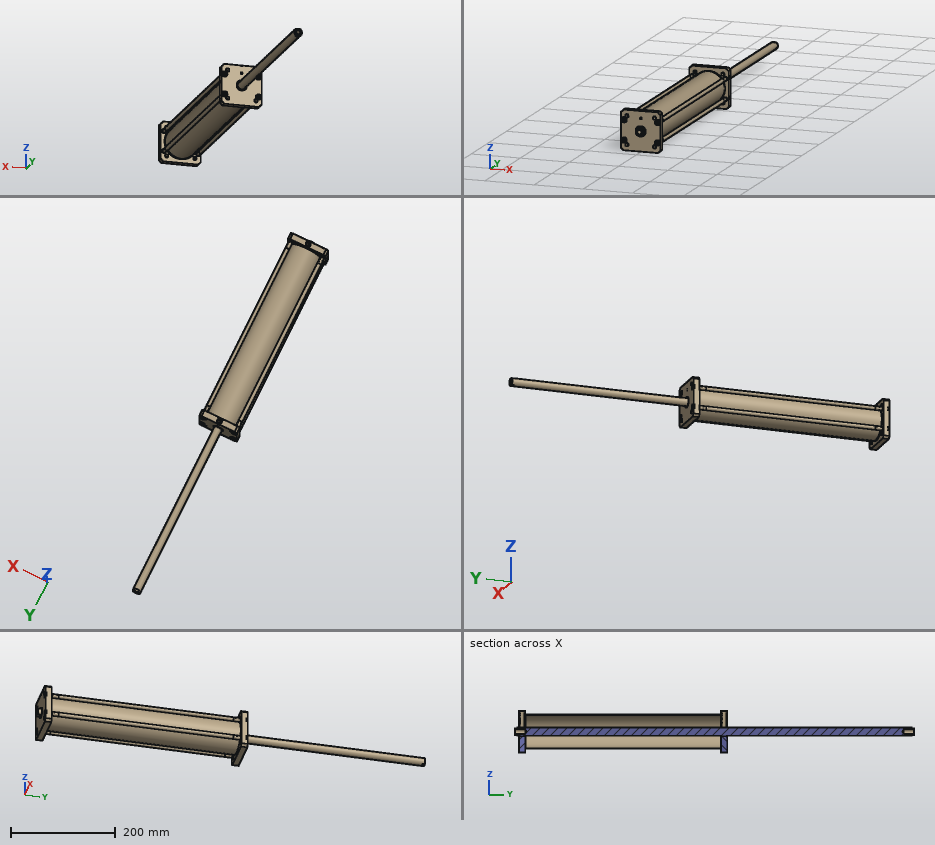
import cadquery as cq

body_length = 399
plate_size = 80
plate_thickness = 12.5
plate_corner_chamfer = 4.8

tube_outer_diameter = 66
tube_bore = 63
gasket_thickness = 1

tie_rod_x = 34
tie_rod_z = 20
tie_rod_diameter = 8
tie_rod_chamfer = 1
tie_rod_tap_diameter = 4
tie_rod_tap_depth = 15
screw_hole_diameter = 6.65
screw_counterbore_diameter = 10.5
screw_counterbore_depth = 3

mounting_hole_diameter = 6.65
mounting_hole_offset = 28.25

port_diameter = 8.57
port_mouth_diameter = 10
passage_diameter = 4
passage_z = 25

rod_diameter = 16
rod_length = 765
rod_front_reach = 8
rod_chamfer = 1.5
rod_flats_width = 13.5
rod_flats_length = 5
rod_tap_diameter = 8.38
rod_tap_mouth_diameter = 10
rod_tap_depth = 20
rod_tap_point_height = 2.5

rod_recess_diameter = 20.5
rod_recess_depth = 1

plate_top = plate_size / 2
space_between_plates = body_length - 2 * plate_thickness
rod_front = -rod_front_reach
rod_rear = rod_front + rod_length
sides = (-1, 1)
tie_rod_points = [(side * tie_rod_x, level * tie_rod_z) for side in sides for level in sides]
mounting_points = [
    (side * mounting_hole_offset, level * mounting_hole_offset) for side in sides for level in sides
]


def bar(diameter, start, length, x=0, z=0):
    """A round bar running along +Y from start."""
    solid = cq.Solid.makeCylinder(diameter / 2, length, cq.Vector(x, start, z), cq.Vector(0, 1, 0))
    return cq.Workplane(solid)


def countersunk_hole(diameter, mouth_diameter, depth, centre, direction):
    """A cutter for a round hole with a 45 degree countersink at its mouth."""
    countersink_depth = (mouth_diameter - diameter) / 2
    bore = cq.Solid.makeCylinder(diameter / 2, depth, centre, direction)
    mouth = cq.Solid.makeCone(mouth_diameter / 2, diameter / 2, countersink_depth, centre, direction)
    return cq.Workplane(bore).union(cq.Workplane(mouth))


def make_front_plate():
    """The plate from y = 0 to its thickness, with its outer face toward -Y."""
    middle = plate_thickness / 2
    plate = (
        cq.Workplane("XY")
        .box(plate_size, plate_thickness, plate_size)
        .edges("|Y")
        .chamfer(plate_corner_chamfer)
        .translate((0, middle, 0))
    )
    for x, z in mounting_points:
        plate = plate.cut(bar(mounting_hole_diameter, 0, plate_thickness, x, z))
    for x, z in tie_rod_points:
        plate = plate.cut(bar(screw_hole_diameter, 0, plate_thickness, x, z))
        plate = plate.cut(bar(screw_counterbore_diameter, 0, screw_counterbore_depth, x, z))

    plate = plate.cut(bar(rod_diameter, 0, plate_thickness))
    plate = plate.cut(bar(rod_recess_diameter, 0, rod_recess_depth))

    port_mouth = cq.Vector(0, middle, plate_top)
    down = cq.Vector(0, 0, -1)
    plate = plate.cut(
        countersunk_hole(port_diameter, port_mouth_diameter, plate_top, port_mouth, down)
    )
    passage_start = middle - port_diameter / 2
    passage_length = plate_thickness - passage_start
    return plate.cut(bar(passage_diameter, passage_start, passage_length, z=passage_z))


def make_rear_plate():
    """The front plate mirrored about the middle of the body."""
    return make_front_plate().mirror("XZ").translate((0, body_length, 0))


def make_sleeve(start, length):
    return bar(tube_outer_diameter, start, length).cut(bar(tube_bore, start, length))


def make_tie_rod(x, z):
    start = plate_thickness
    end = start + space_between_plates
    rod = bar(tie_rod_diameter, start, space_between_plates, x, z)
    rod = rod.faces("<Y or >Y").chamfer(tie_rod_chamfer)
    for tap_start in (start, end - tie_rod_tap_depth):
        rod = rod.cut(bar(tie_rod_tap_diameter, tap_start, tie_rod_tap_depth, x, z))
    return rod


def rod_tap(end, inward):
    """A cutter for the tapped hole in a piston rod end, with a conical bottom."""
    direction = cq.Vector(0, inward, 0)
    mouth = cq.Vector(0, end, 0)
    bottom = mouth + direction * rod_tap_depth
    point = cq.Solid.makeCone(rod_tap_diameter / 2, 0, rod_tap_point_height, bottom, direction)
    hole = countersunk_hole(rod_tap_diameter, rod_tap_mouth_diameter, rod_tap_depth, mouth, direction)
    return hole.union(cq.Workplane(point))


def make_piston_rod():
    rod = bar(rod_diameter, rod_front, rod_length).faces("<Y or >Y").chamfer(rod_chamfer)
    flat_depth = (rod_diameter - rod_flats_width) / 2
    flat_cutter = cq.Workplane("XY").box(rod_diameter, rod_flats_length, flat_depth)
    flat_z = (rod_flats_width + flat_depth) / 2
    for end, inward in ((rod_front, 1), (rod_rear, -1)):
        rod = rod.cut(rod_tap(end, inward))
        flat_y = end + inward * rod_flats_length / 2
        for side in sides:
            rod = rod.cut(flat_cutter.translate((0, flat_y, side * flat_z)))
    return rod


front_plate = make_front_plate()
rear_plate = make_rear_plate()
gasket = make_sleeve(plate_thickness, gasket_thickness)
tube = make_sleeve(plate_thickness + gasket_thickness, space_between_plates - gasket_thickness)
piston_rod = make_piston_rod()
tie_rods = [make_tie_rod(x, z) for x, z in tie_rod_points]

result = cq.Compound.makeCompound(
    [front_plate.val(), rear_plate.val(), gasket.val(), tube.val(), piston_rod.val()]
    + [tie_rod.val() for tie_rod in tie_rods]
)